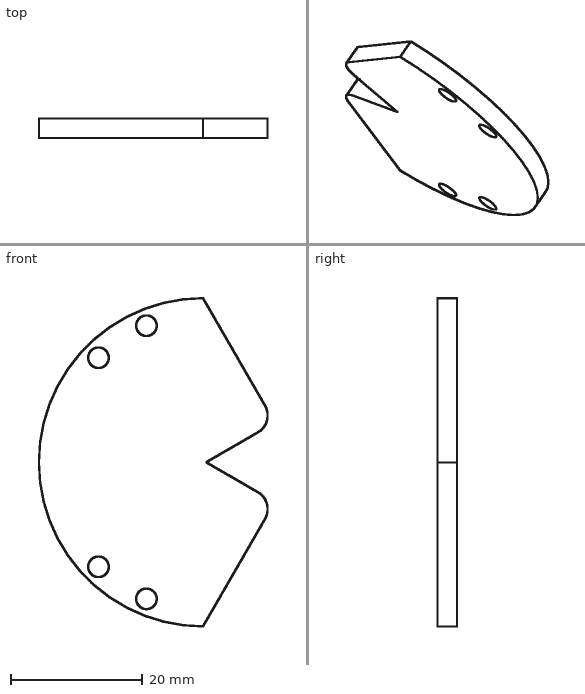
import cadquery as cq
import math

disc_radius = 25.0
thickness = 3.0
notch_tip_x = 0.5
notch_half_angle = 30.0
corner_radius = 3.0
hole_diameter = 3.1
hole_circle_radius = 22.5
hole_angles = (112.5, 135.0)

notch_cos = math.cos(math.radians(notch_half_angle))
notch_sin = math.sin(math.radians(notch_half_angle))
notch_side = disc_radius * notch_sin - notch_tip_x * notch_cos
corner_x = notch_tip_x + notch_side * notch_cos
corner_z = notch_side * notch_sin


def make_plate():
    """Half disc extended to two rounded corners with a V notch between them."""
    plate = (
        cq.Workplane("XZ")
        .moveTo(0, disc_radius)
        .threePointArc((-disc_radius, 0), (0, -disc_radius))
        .lineTo(corner_x, -corner_z)
        .lineTo(notch_tip_x, 0)
        .lineTo(corner_x, corner_z)
        .close()
        .extrude(thickness)
    )
    return plate.edges("|Y").edges(">X").fillet(corner_radius)


def hole_positions():
    """Hole centres on the hole circle, in pairs above and below the X axis."""
    points = []
    for angle in hole_angles:
        x = hole_circle_radius * math.cos(math.radians(angle))
        z = hole_circle_radius * math.sin(math.radians(angle))
        points += [(x, z), (x, -z)]
    return points


holes = (
    cq.Workplane("XZ")
    .pushPoints(hole_positions())
    .circle(hole_diameter / 2)
    .extrude(thickness)
)

result = make_plate().cut(holes)